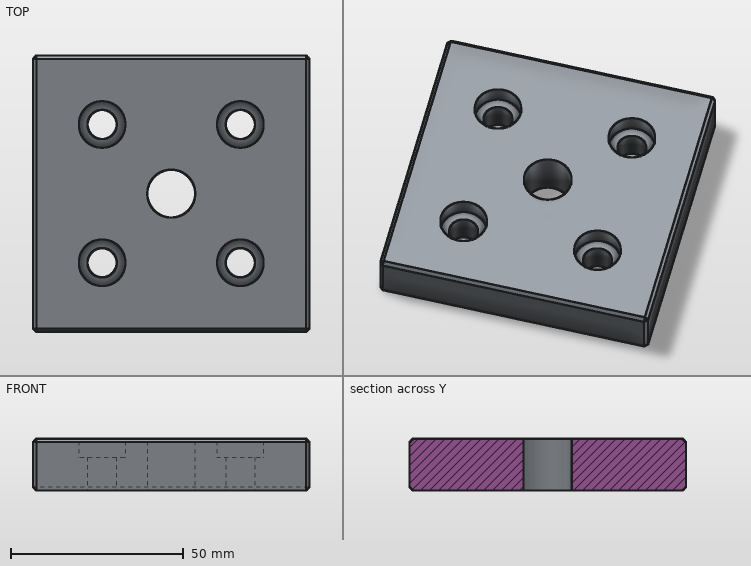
import cadquery as cq

side = 80.0
thickness = 15.0
edge_chamfer = 1.0

center_hole_diameter = 13.8

screw_spacing = side / 2
screw_hole_diameter = 8.4
counterbore_diameter = 13.5
counterbore_depth = 5.5


def make_plate():
    """Square plate centred on the Z axis, resting on Z = 0.

    Every edge is chamfered except the bottom edge of the -Y side, which stays sharp.
    """
    plate = cq.Workplane("XY").box(side, side, thickness, centered=(True, True, False))
    sharp_edge = plate.faces("<Y").edges("<Z").val()
    chamfered_edges = [edge for edge in plate.edges().vals() if not edge.isSame(sharp_edge)]
    return plate.newObject(chamfered_edges).chamfer(edge_chamfer)


def drill_center_hole(plate):
    """Plain through hole on the Z axis."""
    return plate.faces(">Z").workplane(origin=(0, 0, thickness)).hole(center_hole_diameter)


def drill_screw_holes(plate):
    """Through holes counterbored from the top face."""
    return (
        plate.faces(">Z")
        .workplane(origin=(0, 0, thickness))
        .rarray(screw_spacing, screw_spacing, 2, 2)
        .cboreHole(screw_hole_diameter, counterbore_diameter, counterbore_depth)
    )


result = drill_screw_holes(drill_center_hole(make_plate()))